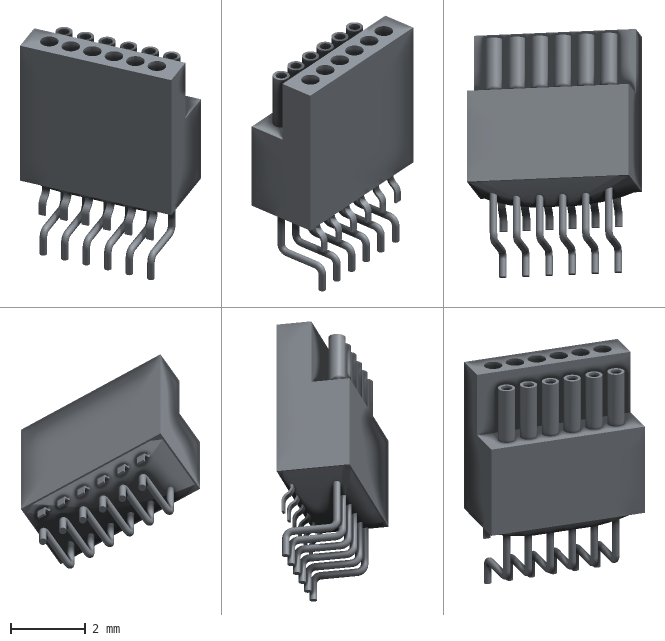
import cadquery as cq
import math

width = 4.45
depth = 2.03
height = 6.53
body_bottom = 2.225
step_level = 4.755
step_depth = 0.965

bead_inset = 0.05
bead_drop = 0.52
bead_overlap = 0.03
corner_cut = 0.14

contact_count = 6
pitch = 0.635
socket_diameter = 0.5
socket_y = 0.51
tube_top = 6.27
tube_diameter = 0.465
bore_diameter = 0.31
drill_point_angle = 118.0
row_y = 1.52

tail_diameter = 0.2
tail_bend = 0.2
tail_run_level = 0.7

flat_width = 0.2
flat_thickness = 0.065
flat_bottom = 1.28
flat_bend_start = 1.55
flat_bend = 0.26
flat_lean = 60.0

contact_xs = [(i - (contact_count - 1) / 2) * pitch for i in range(contact_count)]


def make_housing():
    """Block with its rear part lowered to the step."""
    profile = [
        (0, body_bottom),
        (depth, body_bottom),
        (depth, step_level),
        (step_depth, step_level),
        (step_depth, height),
        (0, height),
    ]
    return cq.Workplane("YZ").polyline(profile).close().extrude(width / 2, both=True)


def make_bead_arch(half_span, facing):
    """Arch-shaped bar whose curve spans the angle `facing`, measured from +X."""
    arch = (
        cq.Workplane("XZ")
        .moveTo(-half_span, 0)
        .threePointArc((0, -bead_drop), (half_span, 0))
        .lineTo(half_span, bead_overlap)
        .lineTo(-half_span, bead_overlap)
        .close()
        .extrude(width, both=True)
    )
    return arch.rotate((0, 0, 0), (0, 0, 1), facing)


def make_bead():
    """Dome common to four arches: two along the sides and two across the corners."""
    half_x = width / 2 - bead_inset
    half_y = depth / 2 - bead_inset
    corner_facing = math.atan2(half_x, half_y)
    corner_span = (2 - corner_cut) * half_x * half_y / math.hypot(half_x, half_y)
    corner_degrees = math.degrees(corner_facing)
    bead = make_bead_arch(half_x, 0).intersect(make_bead_arch(half_y, 90))
    for facing in (corner_degrees, -corner_degrees):
        bead = bead.intersect(make_bead_arch(corner_span, facing))
    return bead.translate((0, depth / 2, body_bottom))


def make_tube(x):
    """Solid post standing on the step."""
    post = cq.Workplane("XY", origin=(x, row_y, step_level))
    return post.circle(tube_diameter / 2).extrude(tube_top - step_level)


def make_bore(x):
    """Drilled tube bore, full width down to the step, with a conical end."""
    radius = bore_diameter / 2
    point_depth = radius / math.tan(math.radians(drill_point_angle / 2))
    return (
        cq.Workplane("XZ")
        .polyline([
            (0, step_level - point_depth),
            (radius, step_level),
            (radius, tube_top),
            (0, tube_top),
        ])
        .close()
        .revolve(360, (0, 0, 0), (0, 1, 0))
        .translate((x, row_y, 0))
    )


def make_socket(x):
    """Flat-bottomed socket hole, from the top face down to the step level."""
    socket = cq.Workplane("XY", origin=(x, socket_y, step_level))
    return socket.circle(socket_diameter / 2).extrude(height - step_level)


def make_round_tail(x):
    """Round wire: down, forward, then down again with its front flush to Y = 0."""
    tip_y = tail_diameter / 2
    leg = tail_bend * math.sqrt(0.5)
    path = (
        cq.Workplane("YZ", origin=(x, 0, 0))
        .moveTo(row_y, body_bottom)
        .lineTo(row_y, tail_run_level + tail_bend)
        .threePointArc(
            (row_y - tail_bend + leg, tail_run_level + tail_bend - leg),
            (row_y - tail_bend, tail_run_level),
        )
        .lineTo(tip_y + tail_bend, tail_run_level)
        .threePointArc(
            (tip_y + tail_bend - leg, tail_run_level - tail_bend + leg),
            (tip_y, tail_run_level - tail_bend),
        )
        .lineTo(tip_y, 0)
    )
    section = cq.Workplane("XY", origin=(x, row_y, body_bottom))
    return section.circle(tail_diameter / 2).sweep(path)


def make_flat_tail(x):
    """Flat strip: upright at the tip, leaning back in an S-bend, upright again into the bead."""
    half_turn = math.radians(flat_lean / 2)
    half_y = flat_bend * (1 - math.cos(half_turn))
    half_z = flat_bend * math.sin(half_turn)
    bend_y = flat_bend * (1 - math.cos(2 * half_turn))
    bend_z = flat_bend * math.sin(2 * half_turn)
    start_y = flat_thickness / 2
    end_y = start_y + 2 * bend_y
    end_z = flat_bend_start + 2 * bend_z
    path = (
        cq.Workplane("YZ", origin=(x, 0, 0))
        .moveTo(start_y, flat_bottom)
        .lineTo(start_y, flat_bend_start)
        .threePointArc(
            (start_y + half_y, flat_bend_start + half_z),
            (start_y + bend_y, flat_bend_start + bend_z),
        )
        .threePointArc((end_y - half_y, end_z - half_z), (end_y, end_z))
        .lineTo(end_y, body_bottom)
    )
    section = cq.Workplane("XY", origin=(x, start_y, flat_bottom))
    return section.rect(flat_width, flat_thickness).sweep(path)


result = make_housing().union(make_bead())
for contact_x in contact_xs:
    result = result.union(make_tube(contact_x))
    result = result.cut(make_bore(contact_x))
    result = result.cut(make_socket(contact_x))
    result = result.union(make_round_tail(contact_x))
    result = result.union(make_flat_tail(contact_x))